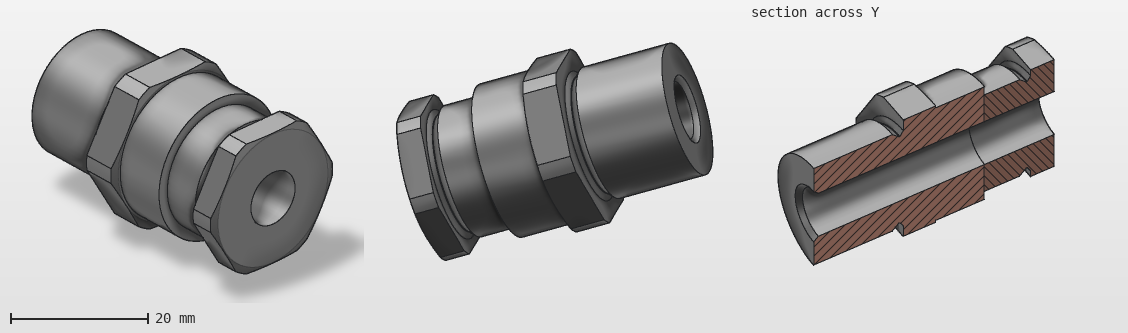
import cadquery as cq
import math

length = 41.2
body_hex_start = 15.35
body_hex_end = 20.9
body_end = 29.25
screw_hex_start = 37.15

shank_radius = 9.97
collar_radius = 11.62
bore_radius = 4.35
body_hex_flats = 24.0
body_hex_corner_radius = 13.2
screw_hex_flats = 22.0
screw_hex_corner_radius = 12.07
hex_bevel_length = 0.35
hex_bevel_depth = 1.2

undercut_length = 1.85
undercut_radius = 8.9
undercut_floor_start = 0.7
undercut_floor_end = 0.58
undercut_root_radius = 9.8

bore_chamfer = 0.8


def revolve_profile(points):
    """Revolve (x, radius) points about the X axis."""
    return cq.Workplane("XY").polyline(points).close().revolve(360, (0, 0, 0), (1, 0, 0))


def make_shank(start, hex_start):
    """Cylinder from start, with a V-shaped undercut in front of the hexagon."""
    return revolve_profile([
        (start, 0),
        (start, shank_radius),
        (hex_start - undercut_length, shank_radius),
        (hex_start - undercut_floor_start, undercut_radius),
        (hex_start - undercut_floor_end, undercut_radius),
        (hex_start, undercut_root_radius),
        (hex_start, 0),
    ])


def make_hexagon(start, end, flats, corner_radius):
    """Hexagonal prism with rounded corners and a conical bevel on its +X end."""
    prism = (
        cq.Workplane("YZ", origin=(start, 0, 0))
        .polygon(6, flats / math.cos(math.pi / 6))
        .extrude(end - start)
    )
    envelope = revolve_profile([
        (start, 0),
        (start, corner_radius),
        (end - hex_bevel_length, corner_radius),
        (end, corner_radius - hex_bevel_depth),
        (end, 0),
    ])
    return prism.intersect(envelope)


def make_cylinder(start, end, radius):
    return cq.Workplane("YZ", origin=(start, 0, 0)).circle(radius).extrude(end - start)


bore = make_cylinder(0, length, bore_radius)


def make_body():
    """Shank, hexagon and collar with a through bore, chamfered at its mouth."""
    mouth = revolve_profile([
        (0, 0),
        (0, bore_radius + bore_chamfer),
        (bore_chamfer, bore_radius),
        (bore_chamfer, 0),
    ])
    return (
        make_shank(0, body_hex_start)
        .union(make_hexagon(body_hex_start, body_hex_end, body_hex_flats, body_hex_corner_radius))
        .union(make_cylinder(body_hex_end, body_end, collar_radius))
        .cut(bore)
        .cut(mouth)
    )


def make_pressure_screw():
    """Hexagon-headed hollow screw on the +X end of the body."""
    return (
        make_shank(body_end, screw_hex_start)
        .union(make_hexagon(screw_hex_start, length, screw_hex_flats, screw_hex_corner_radius))
        .cut(bore)
    )


body = make_body()
pressure_screw = make_pressure_screw()

result = cq.Compound.makeCompound([body.val(), pressure_screw.val()])